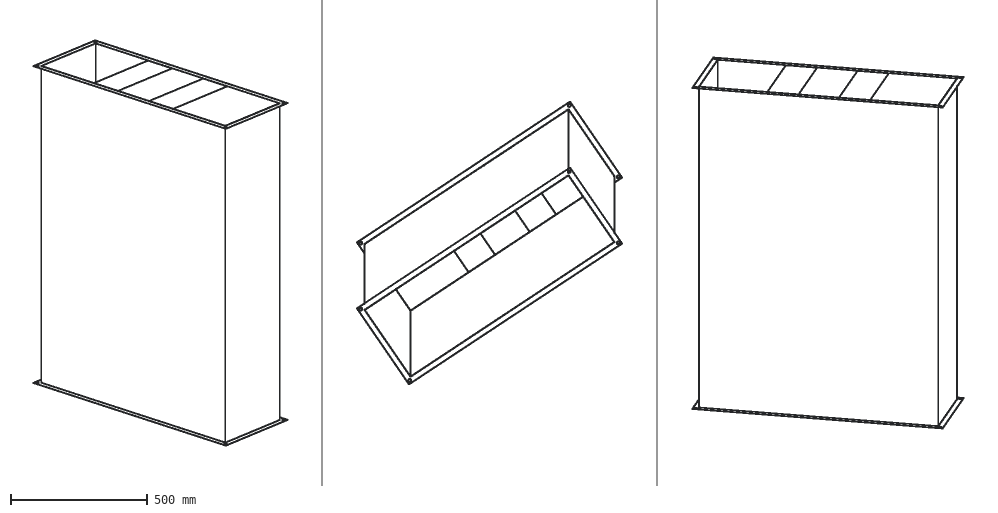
import cadquery as cq

length = 1250.0
flange_x = 942.0
flange_y = 342.0

flange_width = 21.0
flange_thickness = 0.6
wall = 1.0
opening_x = flange_x - 2 * flange_width
opening_y = flange_y - 2 * flange_width
duct_length = length - 2 * flange_thickness

hole_diameter = 10.0
hole_inset = flange_width / 2

baffle_width = 118.0
baffle_spacing = 270.0
baffle_thickness = 0.6


def rectangular_tube(outer_x, outer_y, wall_thickness, height, base_z):
    """Open rectangular frame standing on the plane Z = base_z."""
    return (
        cq.Workplane("XY", origin=(0, 0, base_z))
        .rect(outer_x, outer_y)
        .rect(outer_x - 2 * wall_thickness, outer_y - 2 * wall_thickness)
        .extrude(height)
    )


def make_flange(base_z):
    """Flat frame with one bolt hole in each corner."""
    frame = rectangular_tube(flange_x, flange_y, flange_width, flange_thickness, base_z)
    holes = (
        cq.Workplane("XY", origin=(0, 0, base_z))
        .rect(flange_x - 2 * hole_inset, flange_y - 2 * hole_inset, forConstruction=True)
        .vertices()
        .circle(hole_diameter / 2)
        .extrude(flange_thickness)
    )
    return frame.cut(holes)


def make_baffle(center_x):
    """Flat plate spanning the duct opening, flush with the top of the duct."""
    return (
        cq.Workplane("XY", origin=(center_x, 0, duct_length / 2 - baffle_thickness))
        .rect(baffle_width, opening_y)
        .extrude(baffle_thickness)
    )


duct = rectangular_tube(
    opening_x + 2 * wall, opening_y + 2 * wall, wall, duct_length, -duct_length / 2
)
flanges = [make_flange(base_z) for base_z in (-length / 2, duct_length / 2)]
baffles = [make_baffle(side * baffle_spacing / 2) for side in (-1, 1)]

result = cq.Compound.makeCompound([body.val() for body in [duct, *flanges, *baffles]])